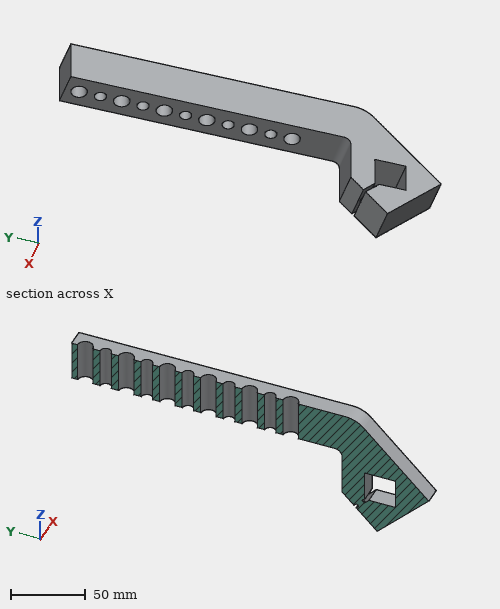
import cadquery as cq
import math

length = 261.0
width = 25.0
height = 91.0
arm_thickness = 30.0

inner_face = 197.4
end_face_run = 37.9
outer_bend_radius = 19.5
inner_bend_radius = 5.0

window_size = 22.0
window_start = 214.3
window_top = 44.0
slot_width = 2.0
pin_diameter = 6.0
pin_distance = 5.7

large_hole_diameter = 11.0
small_hole_diameter = 8.0
hole_count = 11
hole_row_length = 150.0
first_hole = 10.0

overshoot = 2.5


def side_plate(points):
    """Extrude an outline of (distance from arm end, depth below top) points about X = 0."""
    outline = [(-distance, -depth) for distance, depth in points]
    return cq.Workplane("YZ").polyline(outline).close().extrude(width / 2, both=True)


def bent_bar():
    tip_depth = height - end_face_run
    toe = length - end_face_run
    outer_bend = length - tip_depth
    bar = side_plate([
        (0, 0),
        (outer_bend, 0),
        (length, tip_depth),
        (toe, height),
        (inner_face, height - (toe - inner_face)),
        (inner_face, arm_thickness),
        (0, arm_thickness),
    ])
    outer_edge = cq.selectors.NearestToPointSelector((0, -outer_bend, 0))
    bar = bar.edges("|X").edges(outer_edge).fillet(outer_bend_radius)
    inner_edge = cq.selectors.NearestToPointSelector((0, -inner_face, -arm_thickness))
    return bar.edges("|X").edges(inner_edge).fillet(inner_bend_radius)


def window():
    window_end = window_start + window_size
    window_bottom = window_top + window_size
    return side_plate([
        (window_start, window_top),
        (window_end, window_top),
        (window_end, window_bottom),
        (window_start, window_bottom),
    ])


slot_plane = cq.Plane(
    origin=(0, -window_start, -window_top - window_size),
    xDir=(-1, 0, 0),
    normal=(0, -1, -1),
)


def slot():
    """Slot with one wall through the window corner, open to the slanted lower face."""
    toe = length - end_face_run
    face_depth_minus_distance = height - toe
    corner_depth_minus_distance = window_top + window_size - window_start
    reach = (face_depth_minus_distance - corner_depth_minus_distance) / math.sqrt(2) + overshoot
    slot_length = reach + overshoot
    return (cq.Workplane(slot_plane).center(0, slot_length / 2 - overshoot)
            .rect(width, slot_length).extrude(slot_width))


def pin():
    """Round pin bridging the slot at mid width."""
    return (cq.Workplane(slot_plane).center(0, pin_distance)
            .circle(pin_diameter / 2).extrude(slot_width))


def arm_holes():
    hole_pitch = hole_row_length / (hole_count - 1)
    holes = cq.Workplane("XY")
    for index in range(hole_count):
        diameter = large_hole_diameter if index % 2 == 0 else small_hole_diameter
        hole = (cq.Workplane("XY").center(0, -first_hole - index * hole_pitch)
                .circle(diameter / 2).extrude(-arm_thickness))
        holes = holes.add(hole)
    return holes.combine()


result = bent_bar().cut(window()).cut(slot()).union(pin()).cut(arm_holes())